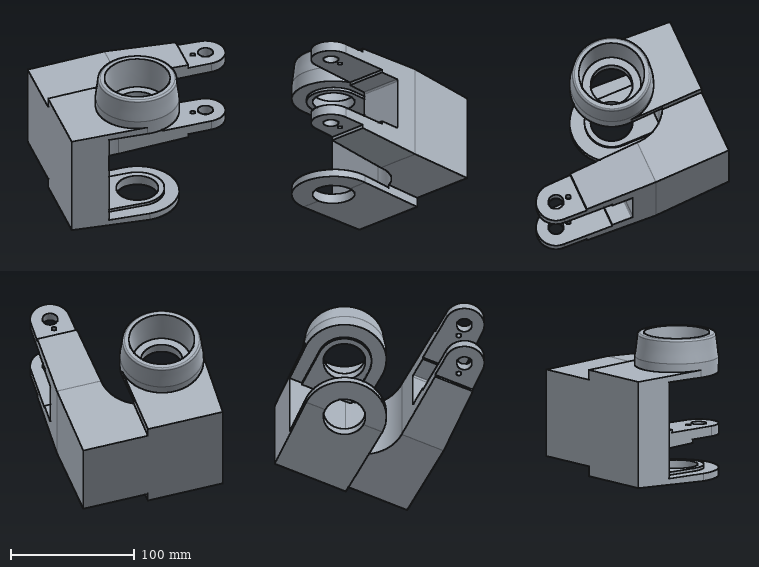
import cadquery as cq

FRONT_Y = -65.9

CHEEK_R = 34.0
CHEEK_FRONT_HALF = 31.8
CHEEK_TOP = 46.0
CHEEK_FRONT_TOP = 44.0
GAP_HALF = 39.7
GAP_CORNER_R = 34.4
BORE_R = 17.0
CHEEK_PAD_R = 22.0
CHEEK_PAD_H = 2.5

COLLAR_SHOULDER = 52.5
COLLAR_TOP = 71.9
COLLAR_TOP_R = 31.8
COLLAR_FILLET = 1.6
CUP_FLOOR_R = 23.8
CUP_RIM_R = 26.6

ARM_X = -70.0
ARM_HALF = 18.8
ARM_FRONT_X = -86.6
ARM_TOP = 38.3
ARM_END_TOP = 35.8
ARM_STEP_Y = 60.2
EAR_Y = 80.1
EAR_R = 16.2
EAR_TOP = 33.0
EAR_BOTTOM = 24.3
EAR_PAD_BOTTOM = 21.9
EAR_PAD_Y = 38.0
POCKET_Y = 20.0
POCKET_FILLET = 1.3
PIN_R = 6.2
LOCK_R = 2.0
LOCK_Y = 69.3

TOOL = 324.5


def upright_prism(plan, half_height):
    return plan.extrude(half_height, both=True)


def side_prism(upper_points):
    """Prism along X from an upper (Y, Z) edge line mirrored about Z = 0."""
    lower_points = [(y, -z) for y, z in reversed(upper_points)]
    return cq.Workplane("YZ").polyline(upper_points + lower_points).close().extrude(TOOL, both=True)


def cheek_block():
    plan = (
        cq.Workplane("XY")
        .moveTo(-CHEEK_FRONT_HALF, FRONT_Y)
        .lineTo(CHEEK_FRONT_HALF, FRONT_Y)
        .lineTo(CHEEK_R, 0)
        .threePointArc((0, CHEEK_R), (-CHEEK_R, 0))
        .close()
    )
    heights = side_prism([(FRONT_Y, CHEEK_FRONT_TOP), (0, CHEEK_TOP), (CHEEK_R, CHEEK_TOP)])
    return upright_prism(plan, CHEEK_TOP).intersect(heights)


def arm_block():
    plan = (
        cq.Workplane("XY")
        .moveTo(0, FRONT_Y)
        .lineTo(ARM_FRONT_X, FRONT_Y)
        .lineTo(ARM_X - ARM_HALF, 0)
        .lineTo(ARM_X - EAR_R, EAR_Y)
        .threePointArc((ARM_X, EAR_Y + EAR_R), (ARM_X + EAR_R, EAR_Y))
        .lineTo(ARM_X + ARM_HALF, 0)
        .lineTo(0, 0)
        .close()
    )
    ear_end = EAR_Y + EAR_R
    heights = side_prism([
        (FRONT_Y, ARM_END_TOP),
        (0, ARM_TOP),
        (ARM_STEP_Y, ARM_END_TOP),
        (ARM_STEP_Y, EAR_TOP),
        (ear_end, EAR_TOP),
    ])
    return upright_prism(plan, ARM_TOP).intersect(heights)


def fork_gap():
    """Opening between the cheeks, blending into the arm with a concave arc."""
    arm_side = ARM_X + ARM_HALF
    corner = cq.Workplane("XY").center(arm_side + GAP_CORNER_R, 0).circle(GAP_CORNER_R)
    floor = (
        cq.Workplane("XY")
        .moveTo(arm_side + GAP_CORNER_R, -GAP_CORNER_R)
        .lineTo(CHEEK_R, -GAP_CORNER_R)
        .lineTo(CHEEK_R, CHEEK_R)
        .lineTo(arm_side + GAP_CORNER_R, CHEEK_R)
        .close()
    )
    return upright_prism(corner, GAP_HALF).union(upright_prism(floor, GAP_HALF))


def ear_opening():
    ear_end = EAR_Y + EAR_R
    opening = side_prism([
        (POCKET_Y, EAR_PAD_BOTTOM),
        (EAR_PAD_Y, EAR_PAD_BOTTOM),
        (EAR_PAD_Y, EAR_BOTTOM),
        (ear_end, EAR_BOTTOM),
    ])
    return opening.edges("|X").edges("<Y").fillet(POCKET_FILLET)


def cheek_pads():
    """Thin pads inside both cheeks, rounded about the bore and running back to the gap floor."""
    upper = (
        cq.Workplane("XY")
        .workplane(offset=GAP_HALF - CHEEK_PAD_H)
        .moveTo(-CHEEK_PAD_R, -GAP_CORNER_R)
        .lineTo(CHEEK_PAD_R, -GAP_CORNER_R)
        .lineTo(CHEEK_PAD_R, 0)
        .threePointArc((0, CHEEK_PAD_R), (-CHEEK_PAD_R, 0))
        .close()
        .extrude(CHEEK_PAD_H)
    )
    return upper.union(upper.mirror("XY"))


def collar():
    outside = (
        cq.Workplane("XZ")
        .moveTo(0, GAP_HALF)
        .lineTo(CHEEK_R, GAP_HALF)
        .lineTo(CHEEK_R, COLLAR_SHOULDER)
        .lineTo(COLLAR_TOP_R, COLLAR_TOP)
        .lineTo(0, COLLAR_TOP)
        .close()
        .revolve(360, (0, 0), (0, 1))
        .faces(">Z")
        .edges()
        .fillet(COLLAR_FILLET)
    )
    cup = (
        cq.Workplane("XZ")
        .moveTo(0, CHEEK_TOP)
        .lineTo(CUP_FLOOR_R, CHEEK_TOP)
        .lineTo(CUP_RIM_R, COLLAR_TOP)
        .lineTo(0, COLLAR_TOP)
        .close()
        .revolve(360, (0, 0), (0, 1))
    )
    return outside.cut(cup)


def through_hole(x, y, radius):
    return upright_prism(cq.Workplane("XY").center(x, y).circle(radius), TOOL)


arm = arm_block().cut(ear_opening())
body = arm.union(cheek_block()).cut(fork_gap())
body = body.union(cheek_pads()).union(collar())
for hole_x, hole_y, hole_r in [(0, 0, BORE_R), (ARM_X, EAR_Y, PIN_R), (ARM_X, LOCK_Y, LOCK_R)]:
    body = body.cut(through_hole(hole_x, hole_y, hole_r))

result = body